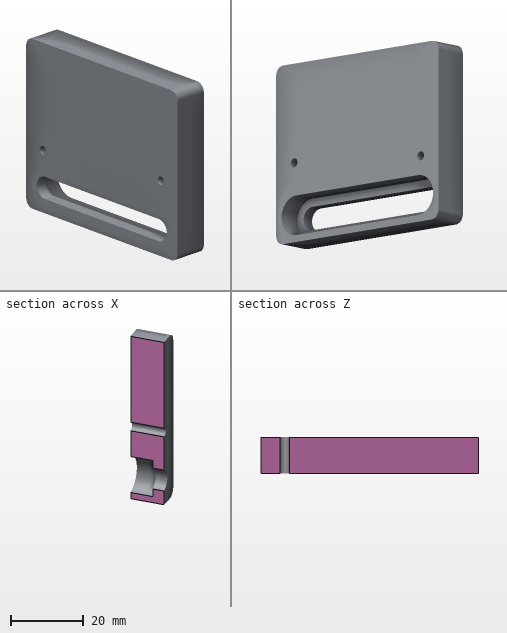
import cadquery as cq

width = 60.0
thickness = 10.0
height = 50.0
corner_radius = 2.5

slot_length = 51.5
slot_height = 6.55
slot_z = -17.5

recess_margin = 2.3
front_lip_thickness = 3.5

hole_diameter = 2.5
hole_x = 23.4
left_hole_z = -6.65
right_hole_z = -2.75


def make_plate():
    """Upright plate centred on the origin, with rounded corners."""
    return cq.Workplane("XY").box(width, thickness, height).edges("|Y").fillet(corner_radius)


def slot_cutter(margin, front_y):
    """Round-ended slot, enlarged all round by margin, from front_y to the back face."""
    return (
        cq.Workplane("XZ", origin=(0, front_y, slot_z))
        .slot2D(slot_length + 2 * margin, slot_height + 2 * margin)
        .extrude(front_y - thickness / 2)
    )


def cut_stepped_slot(body):
    """Cut the slot through the plate, widened behind the front lip."""
    front_face_y = -thickness / 2
    through_slot = slot_cutter(0, front_face_y)
    back_recess = slot_cutter(recess_margin, front_face_y + front_lip_thickness)
    return body.cut(through_slot).cut(back_recess)


def cut_holes(body):
    """Cut the two round holes through the plate."""
    cutter = (
        cq.Workplane("XZ")
        .pushPoints([(-hole_x, left_hole_z), (hole_x, right_hole_z)])
        .circle(hole_diameter / 2)
        .extrude(thickness, both=True)
    )
    return body.cut(cutter)


result = cut_holes(cut_stepped_slot(make_plate()))